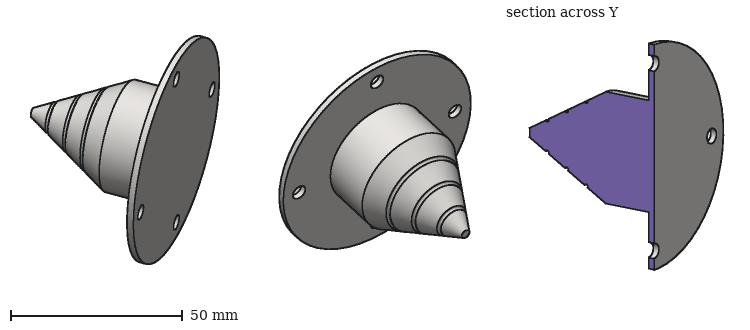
import cadquery as cq
import math

total_length = 45.0
flange_diameter = 68.2
flange_thickness = 2.05
body_radius = 17.0

tip_radius = 1.4
cone_length = 27.55
cone_slope = (body_radius - tip_radius) / cone_length
cone_angle = math.atan(cone_slope)

groove_count = 3
first_groove = 6.35
groove_pitch = 7.0
groove_radius = 0.6

hole_count = 4
hole_diameter = 4.5
bolt_circle_radius = 28.3


def cone_radius(x):
    return tip_radius + cone_slope * x


def make_body():
    """Revolve the grooved cone, the cylinder and the flange about X."""
    flange_face = total_length - flange_thickness
    along_x = groove_radius * math.cos(cone_angle)
    along_r = groove_radius * math.sin(cone_angle)
    profile = cq.Workplane("XZ").lineTo(0, tip_radius)
    for index in range(groove_count):
        x = first_groove + index * groove_pitch
        r = cone_radius(x)
        profile = profile.lineTo(x - along_x, r - along_r).threePointArc(
            (x + along_r, r - along_x), (x + along_x, r + along_r)
        )
    profile = (
        profile.lineTo(cone_length, body_radius)
        .lineTo(flange_face, body_radius)
        .lineTo(flange_face, flange_diameter / 2)
        .lineTo(total_length, flange_diameter / 2)
        .lineTo(total_length, 0)
        .close()
    )
    return profile.revolve(360, (0, 0, 0), (1, 0, 0))


def make_holes():
    """Round cutters on the bolt circle, passing through the flange."""
    return (
        cq.Workplane("YZ", origin=(total_length - flange_thickness, 0, 0))
        .polarArray(bolt_circle_radius, 0, 360, hole_count)
        .circle(hole_diameter / 2)
        .extrude(flange_thickness)
    )


result = make_body().cut(make_holes())